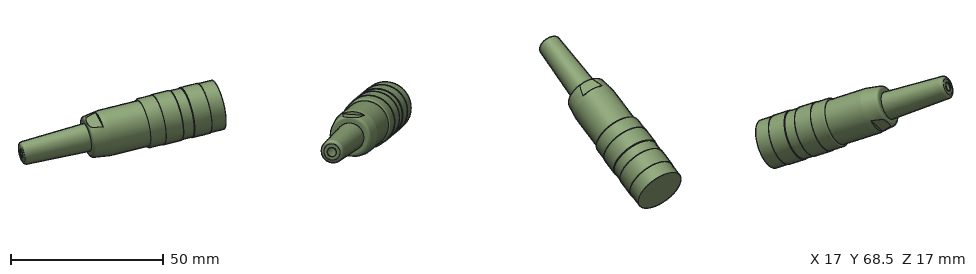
import cadquery as cq

LENGTH = 68.5
REAR_Y = LENGTH / 2

SLEEVE_LENGTH = 26.1
SLEEVE_DIAMETER = 16.65
SLEEVE_FRONT_FILLET = 0.4
RING_DIAMETER = 17.0
RING_WIDTH = 6.15
RING_GAP = 3.6
RING_CHAMFER = 0.2
REAR_RING_START = 5.0
REAR_RING_END = REAR_RING_START + RING_WIDTH
FRONT_RING_START = REAR_RING_END + RING_GAP
FRONT_RING_END = FRONT_RING_START + RING_WIDTH
GROOVE_DIAMETER = RING_DIAMETER - 2 * RING_CHAMFER

BODY_DIAMETER = 15.4
BODY_END = 39.7
NUT_END = 45.7
NUT_END_DIAMETER = 13.7
NUT_END_FILLET = 1.0
FLAT_START = 41.25
FLAT_DISTANCE = 13.0

TAIL_BASE_DIAMETER = 9.4
TAIL_TIP_DIAMETER = 7.6
TAIL_TIP_FILLET = 1.15

MOUTH_DIAMETER = 3.1
LIP_THICKNESS = 0.35
CAVITY_DIAMETER = 5.5
CAVITY_FLOOR = NUT_END
POCKET_DIAMETER = 3.4
POCKET_SHIFT = -0.95
POCKET_DEPTH = 0.7


def section(start, end, diameter, end_diameter=None):
    """Turned section between two distances from the rear face, conical if end_diameter is given."""
    radius = diameter / 2
    end_radius = radius if end_diameter is None else end_diameter / 2
    outline = [
        (0, REAR_Y - start),
        (radius, REAR_Y - start),
        (end_radius, REAR_Y - end),
        (0, REAR_Y - end),
    ]
    return cq.Workplane("XY").polyline(outline).close().revolve(360, (0, 0), (0, 1))


def sleeve():
    """Sleeve with grip rings, each chamfered on the edge that faces the groove."""
    barrel = section(0, SLEEVE_LENGTH, SLEEVE_DIAMETER)
    barrel = barrel.faces("<Y").edges().fillet(SLEEVE_FRONT_FILLET)
    rear_ring = section(REAR_RING_START, REAR_RING_END, RING_DIAMETER)
    rear_ring = rear_ring.faces("<Y").edges().chamfer(RING_CHAMFER)
    front_ring = section(FRONT_RING_START, FRONT_RING_END, RING_DIAMETER)
    front_ring = front_ring.faces(">Y").edges().chamfer(RING_CHAMFER)
    groove = section(REAR_RING_END, FRONT_RING_START, RING_DIAMETER)
    groove = groove.cut(section(REAR_RING_END, FRONT_RING_START, GROOVE_DIAMETER))
    return barrel.union(rear_ring).union(front_ring).cut(groove)


def nut():
    """Cone with a rounded front edge and wrench flats on the top and bottom."""
    cone = section(BODY_END, NUT_END, BODY_DIAMETER, NUT_END_DIAMETER)
    cone = cone.faces("<Y").edges().fillet(NUT_END_FILLET)
    flat_length = NUT_END - FLAT_START
    flat_y = REAR_Y - (FLAT_START + NUT_END) / 2
    cutter_height = BODY_DIAMETER - FLAT_DISTANCE
    cutter_z = (FLAT_DISTANCE + cutter_height) / 2
    cutter = cq.Workplane("XY").box(BODY_DIAMETER, flat_length, cutter_height)
    for side in (1, -1):
        cone = cone.cut(cutter.translate((0, flat_y, side * cutter_z)))
    return cone


def tail():
    cone = section(NUT_END, LENGTH, TAIL_BASE_DIAMETER, TAIL_TIP_DIAMETER)
    return cone.faces("<Y").edges().fillet(TAIL_TIP_FILLET)


def cable_passage():
    lip_start = LENGTH - LIP_THICKNESS
    mouth = section(lip_start, LENGTH, MOUTH_DIAMETER)
    cavity = section(CAVITY_FLOOR, lip_start, CAVITY_DIAMETER)
    pocket = section(CAVITY_FLOOR - POCKET_DEPTH, CAVITY_FLOOR, POCKET_DIAMETER)
    return mouth.union(cavity).union(pocket.translate((POCKET_SHIFT, 0, 0)))


body = section(SLEEVE_LENGTH, BODY_END, BODY_DIAMETER)
result = sleeve().union(body).union(nut()).union(tail()).cut(cable_passage())